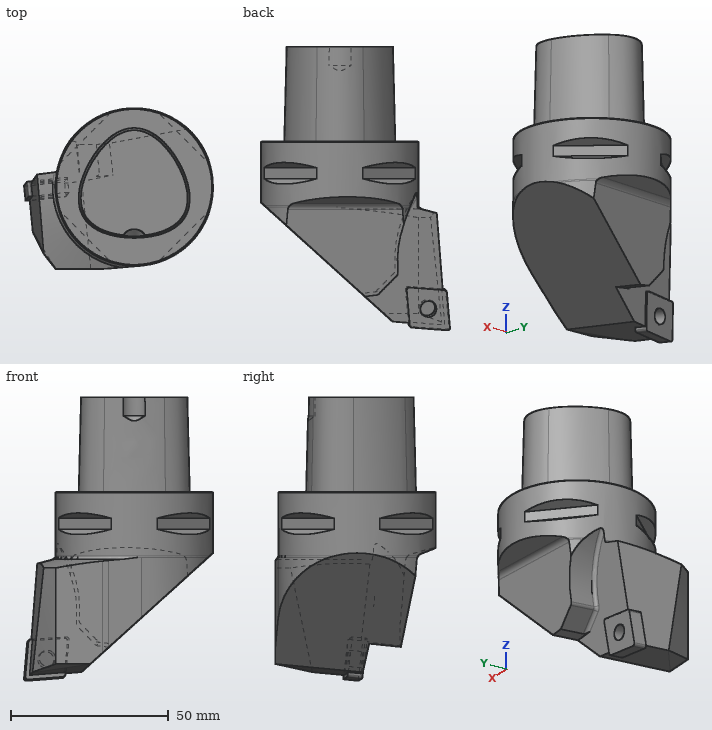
import cadquery as cq
import math


SHANK_LENGTH = 30.0
SHANK_TAPER = 1 / 20
LOBE_RADIUS_BASE = 17.5
LOBE_RADIUS_TIP = LOBE_RADIUS_BASE - SHANK_LENGTH * SHANK_TAPER / 2
LOBE_OFFSET = 1.3
LOBE_PATCHES = 6
POINTS_PER_PATCH = 7

KEYWAY_RADIUS = 8.0 / 2
KEYWAY_AXIS_Y = -17.4
KEYWAY_DEPTH = 5.85
KEYWAY_CONE_HEIGHT = 3.0

FLANGE_RADIUS = 50.0 / 2
FLANGE_CHAMFER = 0.4
GROOVE_COUNT = 4
GROOVE_FLOOR_RADIUS = 22.05
GROOVE_FLOOR_WIDTH = 3.4
GROOVE_CENTRE_Z = -10.2
GROOVE_SIDE_ANGLE = 30

CORE_RADIUS = 25.1
FRONT_Y = -26.0
FRONT_BLEND_LENGTH = 1.8
HEAD_TOP_Z = -13.5
HEAD_BOTTOM_Z = -63.0
OUTER_REACH = 54.0
SHOULDER_Z = -20.3
SHOULDER_FILLET = 1.2
SHOULDER_ANGLE = 15
FLANK_ANGLE = 5
FLANK_SLOPE = math.tan(math.radians(FLANK_ANGLE))

CORNER_FRONT_X = -24.9
CORNER_TOP = (-28.7, -21.15, -24.3)
CORNER_SHIFT_Y = -0.21

END_POINT = (-32.85, -4.5, -58.1)
END_SLOPE_X = 0.09
END_SLOPE_Y = -0.085
END_CORNER_Z = -54.6
END_CORNER_SLOPE = -0.22
BACK_CUT_START_Z = -19.4
BACK_CUT_SLOPE = 0.905

REAR_Y = 19.3
REAR_SLOPE_X = 0.1
REAR_SLOPE_Z = 0.094
REAR_ROOF_Z = -17.6
REAR_ROOF_SLOPE = 0.33
REAR_FILLET = 2.25

RAKE_SLOPE = math.tan(math.radians(6))
RAKE_NORMAL = (-RAKE_SLOPE, 1, -RAKE_SLOPE)
RAKE_UP = (0, RAKE_SLOPE, 1)
POCKET_FLOOR_Y = 9.6
POCKET_HEIGHT = 40.5
POCKET_FLOOR_FILLET = 1.2
POCKET_CORNER_FILLET = 1.35
POCKET_WALL_TOP = (-14.85, -25.65)
POCKET_WALL_MIDDLE = (-26.55, -19.1)
POCKET_WALL_CORNER = (-41.6, -17.55)
POCKET_WALL_FOOT = (-48.1, -11.1)
POCKET_WALL_END = (-49.05, -2.7)

INSCRIBED_DIAMETER = 12.7
INSERT_ANGLE = 80
INSERT_THICKNESS = 4.8
INSERT_NOSE = 0.8
INSERT_HOLE_DIAMETER = 5.1
INSERT_TIP_X = -35.0
INSERT_TIP_Z = -60.1
INSERT_PROUD = 0.6


def half_space(point, normal):
    """Large block on the side of a plane that its normal points to."""
    plane = cq.Plane(origin=point, normal=normal)
    width = 4 * OUTER_REACH
    return cq.Workplane(plane).rect(width, width).extrude(2 * OUTER_REACH)


def lobe_wire(lobe_radius, z):
    """Three-lobed outline with one lobe toward +Y, made of equal patches."""

    def point(angle):
        x = -lobe_radius * math.sin(angle) + LOBE_OFFSET * math.sin(2 * angle)
        y = lobe_radius * math.cos(angle) + LOBE_OFFSET * math.cos(2 * angle)
        return cq.Vector(x, y, z)

    def tangent(angle):
        x = -lobe_radius * math.cos(angle) + 2 * LOBE_OFFSET * math.cos(2 * angle)
        y = -lobe_radius * math.sin(angle) - 2 * LOBE_OFFSET * math.sin(2 * angle)
        return cq.Vector(x, y, 0)

    patch_angle = 2 * math.pi / LOBE_PATCHES
    edges = []
    for patch in range(LOBE_PATCHES):
        start = (patch + 0.5) * patch_angle
        step = patch_angle / (POINTS_PER_PATCH - 1)
        angles = [start + i * step for i in range(POINTS_PER_PATCH)]
        ends = [tangent(angles[0]), tangent(angles[-1])]
        edges.append(cq.Edge.makeSpline([point(a) for a in angles], tangents=ends))
    return cq.Wire.assembleEdges(edges)


def make_shank():
    base = lobe_wire(LOBE_RADIUS_BASE, 0)
    tip = lobe_wire(LOBE_RADIUS_TIP, SHANK_LENGTH)
    shank = cq.Workplane(cq.Solid.makeLoft([base, tip], True))
    keyway_z = SHANK_LENGTH - KEYWAY_DEPTH
    keyway = (
        cq.Workplane("XZ")
        .moveTo(0, SHANK_LENGTH)
        .lineTo(KEYWAY_RADIUS, SHANK_LENGTH)
        .lineTo(KEYWAY_RADIUS, keyway_z)
        .lineTo(0, keyway_z - KEYWAY_CONE_HEIGHT)
        .close()
        .revolve(360, (0, 0), (0, 1))
        .translate((0, KEYWAY_AXIS_Y, 0))
    )
    return shank.cut(keyway)


def gripper_groove(angle):
    """Trapezoidal groove with a flat floor, across the flange at an angle to X."""
    overrun = 0.9
    depth = FLANGE_RADIUS + overrun - GROOVE_FLOOR_RADIUS
    half_floor = GROOVE_FLOOR_WIDTH / 2
    half_mouth = half_floor + depth * math.tan(math.radians(GROOVE_SIDE_ANGLE))
    return (
        cq.Workplane("XZ")
        .moveTo(GROOVE_FLOOR_RADIUS, GROOVE_CENTRE_Z - half_floor)
        .lineTo(GROOVE_FLOOR_RADIUS + depth, GROOVE_CENTRE_Z - half_mouth)
        .lineTo(GROOVE_FLOOR_RADIUS + depth, GROOVE_CENTRE_Z + half_mouth)
        .lineTo(GROOVE_FLOOR_RADIUS, GROOVE_CENTRE_Z + half_floor)
        .close()
        .extrude(FLANGE_RADIUS, both=True)
        .rotate((0, 0, 0), (0, 0, 1), angle)
    )


def make_flange():
    flange = (
        cq.Workplane("XY")
        .circle(FLANGE_RADIUS)
        .extrude(SHOULDER_Z)
        .faces(">Z")
        .chamfer(FLANGE_CHAMFER)
    )
    for i in range(GROOVE_COUNT):
        flange = flange.cut(gripper_groove((i + 0.5) * 360 / GROOVE_COUNT))
    return flange


def shoulder_envelope():
    """Round envelope of the head: flange side, concave fillet and sloping shoulder."""

    def fillet_point(turn):
        angle = math.radians(turn)
        r = FLANGE_RADIUS + SHOULDER_FILLET * (1 - math.cos(angle))
        return r, SHOULDER_Z - SHOULDER_FILLET * math.sin(angle)

    full_turn = 90 - SHOULDER_ANGLE
    end_r, end_z = fillet_point(full_turn)
    drop = (OUTER_REACH - end_r) * math.tan(math.radians(SHOULDER_ANGLE))
    return (
        cq.Workplane("XZ")
        .moveTo(0, HEAD_TOP_Z)
        .lineTo(FLANGE_RADIUS, HEAD_TOP_Z)
        .lineTo(FLANGE_RADIUS, SHOULDER_Z)
        .threePointArc(fillet_point(full_turn / 2), (end_r, end_z))
        .lineTo(OUTER_REACH, end_z - drop)
        .lineTo(OUTER_REACH, HEAD_BOTTOM_Z)
        .lineTo(0, HEAD_BOTTOM_Z)
        .close()
        .revolve(360, (0, 0), (0, 1))
    )


def side_block():
    """Block whose front face blends into a face tangent to the round core."""
    angle = math.radians(FLANK_ANGLE)
    tangent_x = CORE_RADIUS * math.sin(angle)
    tangent_y = -CORE_RADIUS * math.cos(angle)
    bend_x = tangent_x - (tangent_y - FRONT_Y) / FLANK_SLOPE
    blend = FRONT_BLEND_LENGTH / 2
    blend_end = (bend_x + blend * math.cos(angle), FRONT_Y + blend * math.sin(angle))
    rear_y = POCKET_FLOOR_Y
    return (
        cq.Workplane("XY")
        .workplane(offset=HEAD_BOTTOM_Z)
        .moveTo(-OUTER_REACH, rear_y)
        .lineTo(-OUTER_REACH, FRONT_Y)
        .lineTo(bend_x - blend, FRONT_Y)
        .tangentArcPoint(blend_end, relative=False)
        .lineTo(tangent_x, tangent_y)
        .lineTo(tangent_x, rear_y)
        .close()
        .extrude(HEAD_TOP_Z - HEAD_BOTTOM_Z)
    )


def corner_cutter():
    """Waste outside the ruled corner, between a vertical edge and an inclined one."""

    def section(z):
        rise = z - CORNER_TOP[2]
        inner_y = CORNER_TOP[1] + CORNER_SHIFT_Y * rise
        inner_x = CORNER_TOP[0] - FLANK_SLOPE * (inner_y - CORNER_TOP[1]) + FLANK_SLOPE * rise
        corners = [
            cq.Vector(inner_x, inner_y, z),
            cq.Vector(CORNER_FRONT_X, FRONT_Y, z),
            cq.Vector(-OUTER_REACH, FRONT_Y, z),
        ]
        return cq.Wire.makePolygon(corners, close=True)

    return cq.Workplane(cq.Solid.makeLoft([section(HEAD_BOTTOM_Z), section(HEAD_TOP_Z)], True))


def rear_relief():
    """Waste behind the rear face, up to a sloping roof with a rounded inner corner."""
    along = (1, REAR_SLOPE_X, 0)
    across = (-REAR_SLOPE_X, 1, 0)
    plane = cq.Plane(origin=(0, 0, 0), xDir=across, normal=along)
    roof_z_at_rear = REAR_ROOF_Z - REAR_ROOF_SLOPE * (FLANGE_RADIUS - REAR_Y)
    corner_z = roof_z_at_rear / (1 - REAR_ROOF_SLOPE * REAR_SLOPE_Z)
    corner_y = REAR_Y + REAR_SLOPE_Z * corner_z
    roof_end_z = corner_z + REAR_ROOF_SLOPE * (OUTER_REACH - corner_y)
    cutter = (
        cq.Workplane(plane)
        .moveTo(corner_y, corner_z)
        .lineTo(OUTER_REACH, roof_end_z)
        .lineTo(OUTER_REACH, HEAD_BOTTOM_Z)
        .lineTo(REAR_Y + REAR_SLOPE_Z * HEAD_BOTTOM_Z, HEAD_BOTTOM_Z)
        .close()
        .extrude(OUTER_REACH, both=True)
    )
    inner_edge = cq.selectors.NearestToPointSelector((0, corner_y, corner_z))
    return cutter.edges(inner_edge).fillet(REAR_FILLET)


def back_cut():
    """Waste under the sloping +X side of the head."""
    run = 2 * FLANGE_RADIUS
    overrun = 0.9
    outer_x = FLANGE_RADIUS + overrun
    low_z = BACK_CUT_START_Z - BACK_CUT_SLOPE * run
    return (
        cq.Workplane("XZ")
        .moveTo(outer_x, BACK_CUT_START_Z + BACK_CUT_SLOPE * overrun)
        .lineTo(outer_x, low_z)
        .lineTo(FLANGE_RADIUS - run, low_z)
        .close()
        .extrude(OUTER_REACH, both=True)
    )


def chip_pocket():
    """Waste above the rake face; its curved wall stands square to that face."""
    overrun = 9
    pocket_bottom = HEAD_BOTTOM_Z - overrun
    plane = cq.Plane(origin=(0, POCKET_FLOOR_Y, 0), xDir=RAKE_UP, normal=RAKE_NORMAL)
    cutter = (
        cq.Workplane(plane)
        .moveTo(*POCKET_WALL_TOP)
        .threePointArc(POCKET_WALL_MIDDLE, POCKET_WALL_CORNER)
        .lineTo(*POCKET_WALL_FOOT)
        .lineTo(*POCKET_WALL_END)
        .lineTo(pocket_bottom, POCKET_WALL_END[1])
        .lineTo(pocket_bottom, -OUTER_REACH)
        .lineTo(POCKET_WALL_TOP[0], -OUTER_REACH)
        .close()
        .extrude(POCKET_HEIGHT)
    )
    corner = plane.toWorldCoords((*POCKET_WALL_CORNER, POCKET_HEIGHT / 2))
    cutter = cutter.edges(cq.selectors.NearestToPointSelector(corner)).fillet(POCKET_CORNER_FILLET)
    floor_middle = plane.toWorldCoords((*POCKET_WALL_MIDDLE, 0))
    return cutter.edges(cq.selectors.NearestToPointSelector(floor_middle)).fillet(POCKET_FLOOR_FILLET)


def make_head(insert_blank):
    flank = half_space(CORNER_TOP, (-1, -FLANK_SLOPE, FLANK_SLOPE))
    end_face = half_space(END_POINT, (END_SLOPE_X, END_SLOPE_Y, -1))
    end_corner = half_space((0, FRONT_Y, END_CORNER_Z), (0, END_CORNER_SLOPE, -1))
    block = side_block().cut(flank).cut(corner_cutter())
    core = cq.Workplane("XY").workplane(offset=HEAD_BOTTOM_Z).circle(CORE_RADIUS)
    core = core.extrude(HEAD_TOP_Z - HEAD_BOTTOM_Z)
    head = core.union(block).intersect(shoulder_envelope())
    for waste in (end_face, end_corner, insert_blank):
        head = head.cut(waste)
    return head


def make_holder(insert_blank):
    holder = make_flange().union(make_shank()).union(make_head(insert_blank))
    return holder.cut(rear_relief()).cut(chip_pocket()).cut(back_cut())


def make_insert_blank():
    """Rhombus with rounded corners, its top face parallel to the rake plane."""
    half_angle = math.radians(INSERT_ANGLE / 2)
    half_long = INSCRIBED_DIAMETER / 2 / math.sin(half_angle)
    half_short = INSCRIBED_DIAMETER / 2 / math.cos(half_angle)
    nose_to_centre = half_long - INSERT_NOSE / math.sin(half_angle)
    reach = INSERT_NOSE + nose_to_centre * math.cos(math.radians(45))
    centre_x = INSERT_TIP_X + reach
    centre_z = INSERT_TIP_Z + reach
    centre_y = POCKET_FLOOR_Y + INSERT_PROUD + RAKE_SLOPE * (centre_x + centre_z)
    plane = cq.Plane(origin=(centre_x, centre_y, centre_z), xDir=RAKE_UP, normal=RAKE_NORMAL)
    plane = plane.rotated((0, 0, 45))
    return (
        cq.Workplane(plane)
        .polyline([(half_long, 0), (0, half_short), (-half_long, 0), (0, -half_short)])
        .close()
        .extrude(-INSERT_THICKNESS)
        .edges(cq.selectors.ParallelDirSelector(cq.Vector(RAKE_NORMAL)))
        .fillet(INSERT_NOSE)
    )


def make_insert(insert_blank):
    return insert_blank.faces(">Y").workplane(centerOption="CenterOfMass").hole(INSERT_HOLE_DIAMETER)


insert_blank = make_insert_blank()
holder = make_holder(insert_blank)
insert = make_insert(insert_blank)

result = cq.Compound.makeCompound([holder.val(), insert.val()])